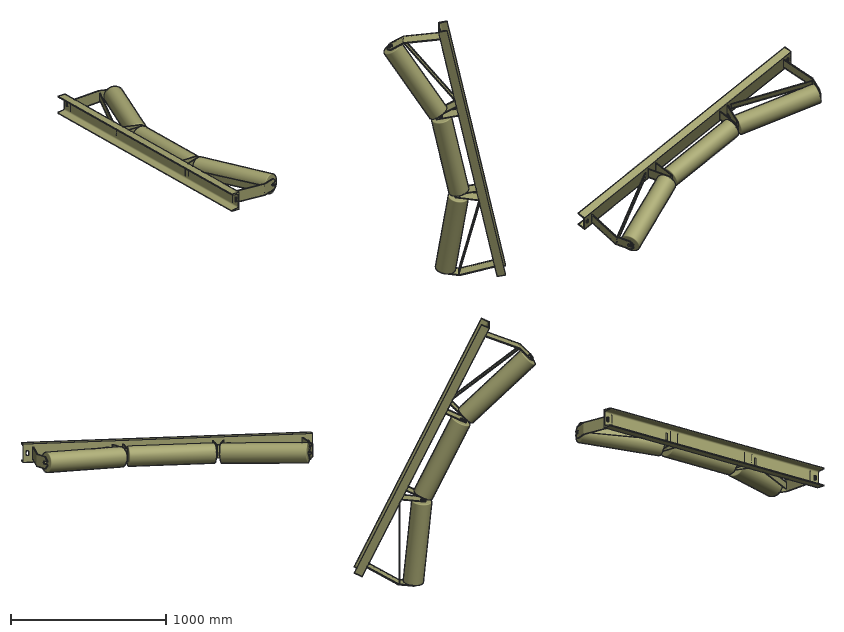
import cadquery as cq
import math

BEAM_LENGTH = 1900.0
BEAM_DEPTH = 122.0
FLANGE_WIDTH = 57.0
WEB_THICKNESS = 8.0
FLANGE_ROOT_THICKNESS = 13.0
FLANGE_TIP_THICKNESS = 8.0
FLANGE_ROOT_RADIUS = 11.0
FLANGE_TOE_RADIUS = 4.0
MOUNT_SLOT_WIDTH = 17.0
MOUNT_SLOT_HEIGHT = 32.0
MOUNT_SLOT_END_DISTANCE = 28.0

ROLLER_DIAMETER = 133.0
ROLLER_LENGTH = 570.0
SHAFT_DIAMETER = 19.0
WING_SHAFT_INNER_REACH = 10.0
WING_SHAFT_OUTER_REACH = 17.0
ROLLER_EDGE_RADIUS = 5.0
CENTER_ROLLER_Y = 115.0
ROLLER_Z = -20.0
TROUGH_ANGLE = 20.0
FORWARD_TILT = 2.0
WING_ROLLER_X = 325.0
WING_ROLLER_Y = 127.0

BRACKET_TOP_Z = 38.0
BRACKET_HEIGHT = 80.0
BRACKET_CORNER_CUT = 25.0

OUTER_THICKNESS = 8.0
OUTER_BEND_RADIUS = 11.0
OUTER_FOOT_X = 884.0
OUTER_BEND_X = 902.0
OUTER_BEND_Y = 238.0
OUTER_TIP_Y = 355.0

INNER_THICKNESS = 5.0
INNER_LEG_X = 295.0
INNER_BRIDGE_X = 312.0
INNER_TOP_Y = 145.0
INNER_BOTTOM_Z = -50.0

BRACE_FOOT_X = 393.0
BRACE_END_Y = 243.0
BRACE_THICKNESS = 5.0
BRACE_TOP_Z = 20.0
BRACE_BOTTOM_Z = -27.0

OVERRUN = 19.0
PICK_SIZE = 2.0

trough = math.radians(TROUGH_ANGLE)
tilt = math.radians(FORWARD_TILT)
bracket_bottom_z = BRACKET_TOP_Z - BRACKET_HEIGHT
wing_axis = cq.Vector(
    math.cos(trough) * math.cos(tilt),
    math.sin(trough) * math.cos(tilt),
    math.sin(tilt),
)
wing_up = cq.Vector(-math.sin(trough), math.cos(trough), 0)
wing_plane = cq.Plane((WING_ROLLER_X, WING_ROLLER_Y, ROLLER_Z), wing_up, wing_axis)
center_plane = cq.Plane((-ROLLER_LENGTH / 2, CENTER_ROLLER_Y, ROLLER_Z), (0, 1, 0), (1, 0, 0))
center_shaft_reach = INNER_LEG_X + INNER_THICKNESS / 2 - ROLLER_LENGTH / 2


def strip(points, thickness, bottom_z, top_z):
    """Bent flat bar whose centerline runs through the points, with mitred bends."""
    directions = []
    for (x0, y0), (x1, y1) in zip(points, points[1:]):
        directions.append(cq.Vector(x1 - x0, y1 - y0, 0).normalized())
    ends = [directions[0]] + directions + [directions[-1]]
    left, right = [], []
    for (x, y), before, after in zip(points, ends, ends[1:]):
        mitre = (before + after).normalized()
        reach = thickness / 2 / mitre.dot(before)
        left.append((x - mitre.y * reach, y + mitre.x * reach))
        right.append((x + mitre.y * reach, y - mitre.x * reach))
    outline = left + right[::-1]
    bar = cq.Workplane("XY").polyline(outline).close().extrude(top_z - bottom_z)
    return bar.translate((0, 0, bottom_z))


def above_mounting_face(body):
    """Trim a body flush with the mounting face of the beam."""
    below = cq.Workplane("XY").box(BEAM_LENGTH, BEAM_DEPTH, BEAM_DEPTH)
    return body.cut(below.translate((0, -BEAM_DEPTH / 2, 0)))


def foot_below_face(foot, toward):
    """Extend a leg through the mounting face, so that trimming leaves a flush foot."""
    slope = (toward[0] - foot[0]) / (toward[1] - foot[1])
    return (foot[0] - slope * OVERRUN, foot[1] - OVERRUN)


def make_beam():
    half = BEAM_DEPTH / 2
    web_y = -WEB_THICKNESS
    root_z = half - FLANGE_ROOT_THICKNESS
    tip_z = half - FLANGE_TIP_THICKNESS
    profile = [
        (0, -half), (0, half), (-FLANGE_WIDTH, half), (-FLANGE_WIDTH, tip_z), (web_y, root_z),
        (web_y, -root_z), (-FLANGE_WIDTH, -tip_z), (-FLANGE_WIDTH, -half),
    ]
    beam = cq.Workplane("YZ").polyline(profile).close().extrude(BEAM_LENGTH / 2, both=True)

    def edges_at(y, z):
        return cq.selectors.BoxSelector(
            (-BEAM_LENGTH, y - PICK_SIZE, z - PICK_SIZE),
            (BEAM_LENGTH, y + PICK_SIZE, z + PICK_SIZE),
        )

    roots = edges_at(web_y, root_z) + edges_at(web_y, -root_z)
    beam = beam.edges("|X").edges(roots).fillet(FLANGE_ROOT_RADIUS)
    toes = edges_at(-FLANGE_WIDTH, tip_z) + edges_at(-FLANGE_WIDTH, -tip_z)
    beam = beam.edges("|X").edges(toes).fillet(FLANGE_TOE_RADIUS)

    slot_x = BEAM_LENGTH / 2 - MOUNT_SLOT_END_DISTANCE
    slots = (
        cq.Workplane("XZ")
        .pushPoints([(-slot_x, 0), (slot_x, 0)])
        .slot2D(MOUNT_SLOT_HEIGHT, MOUNT_SLOT_WIDTH, 90)
        .extrude(OVERRUN, both=True)
    )
    return beam.cut(slots)


def make_roller(plane, near_reach, far_reach):
    """Cylinder starting at the plane, its shaft standing out of both ends."""
    shell = cq.Workplane(plane).circle(ROLLER_DIAMETER / 2).extrude(ROLLER_LENGTH)
    shell = shell.faces("%PLANE").edges().fillet(ROLLER_EDGE_RADIUS)
    shaft = (
        cq.Workplane(plane)
        .workplane(offset=-near_reach)
        .circle(SHAFT_DIAMETER / 2)
        .extrude(near_reach + ROLLER_LENGTH + far_reach)
    )
    return shell.union(shaft)


def shaft_slot(plane, start, length):
    """Round-bottomed slot around a shaft, open on its upper side."""
    base = cq.Workplane(plane).workplane(offset=start)
    opening = base.rect(ROLLER_DIAMETER, SHAFT_DIAMETER).extrude(length)
    opening = opening.translate(plane.xDir * (ROLLER_DIAMETER / 2))
    return base.circle(SHAFT_DIAMETER / 2).extrude(length).union(opening)


def make_outer_bracket():
    bend = (OUTER_BEND_X, OUTER_BEND_Y)
    foot = foot_below_face((OUTER_FOOT_X, 0), bend)
    tip = (OUTER_BEND_X - (OUTER_TIP_Y - OUTER_BEND_Y) * math.tan(trough), OUTER_TIP_Y)
    bracket = strip([foot, bend, tip], OUTER_THICKNESS, bracket_bottom_z, BRACKET_TOP_Z)
    bend_edges = cq.selectors.BoxSelector(
        (OUTER_BEND_X - OUTER_THICKNESS, OUTER_BEND_Y - OUTER_THICKNESS, bracket_bottom_z),
        (OUTER_BEND_X + OUTER_THICKNESS, OUTER_BEND_Y + OUTER_THICKNESS, BRACKET_TOP_Z),
    )
    bracket = bracket.edges("|Z").edges(bend_edges).fillet(OUTER_BEND_RADIUS)
    bracket = bracket.faces(">Y").edges("not |Z").edges("<Z or >Z").chamfer(BRACKET_CORNER_CUT)
    bracket = bracket.cut(shaft_slot(wing_plane, ROLLER_LENGTH - OVERRUN, ROLLER_LENGTH))
    return above_mounting_face(bracket)


def make_inner_bracket():
    bridge_start = (INNER_LEG_X, INNER_TOP_Y)
    bridge_end = (INNER_BRIDGE_X, INNER_TOP_Y)
    foot = (INNER_BRIDGE_X + INNER_TOP_Y * math.tan(trough), 0)
    path = [(INNER_LEG_X, 0), bridge_start, bridge_end, foot_below_face(foot, bridge_end)]
    bracket = strip(path, INNER_THICKNESS, INNER_BOTTOM_Z, BRACKET_TOP_Z)
    bracket = bracket.cut(shaft_slot(center_plane, ROLLER_LENGTH, center_shaft_reach))
    bracket = bracket.cut(shaft_slot(wing_plane, -WING_SHAFT_INNER_REACH, WING_SHAFT_INNER_REACH))
    return above_mounting_face(bracket)


def make_brace(outer_bracket):
    end = (OUTER_BEND_X, BRACE_END_Y)
    foot = foot_below_face((BRACE_FOOT_X, 0), end)
    brace = strip([foot, end], BRACE_THICKNESS, BRACE_BOTTOM_Z, BRACE_TOP_Z)
    return above_mounting_face(brace.cut(outer_bracket))


beam = make_beam()
center_roller = make_roller(center_plane, center_shaft_reach, center_shaft_reach)
wing_roller = make_roller(wing_plane, WING_SHAFT_INNER_REACH, WING_SHAFT_OUTER_REACH)
outer_bracket = make_outer_bracket()
inner_bracket = make_inner_bracket()
brace = make_brace(outer_bracket)

bodies = [beam.solids().val(), center_roller.solids().val()]
for side_body in (wing_roller, outer_bracket, inner_bracket, brace):
    bodies.append(side_body.solids().val())
    bodies.append(side_body.mirror("YZ").solids().val())

result = cq.Compound.makeCompound(bodies)